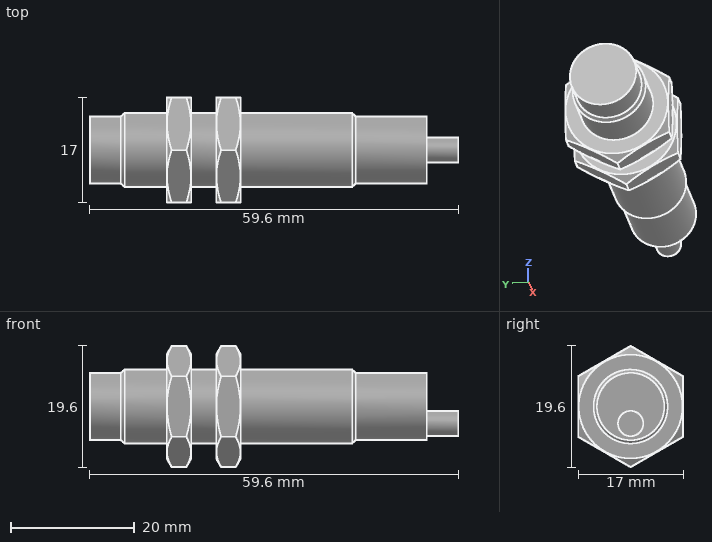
import cadquery as cq
import math

barrel_diameter = 12.0
end_diameter = 10.9
nose_length = 5.0
thread_end = 43.0
housing_end = 54.5
chamfer_length = 0.6

cable_diameter = 4.1
cable_end = 59.58
cable_drop = 2.75

nut_sides = 6
nut_across_flats = 17.0
nut_thickness = 4.0
nut_face_diameter = 16.8
nut_chamfer_angle = 30.0
corner_up_angle = 90.0
first_nut_start = 12.4
nut_spacing = 8.0
nut_count = 2


def make_housing():
    """Turned barrel with a chamfered step down to each plain end."""
    end_radius = end_diameter / 2
    barrel_radius = barrel_diameter / 2
    return (
        cq.Workplane("XY")
        .moveTo(0, 0)
        .lineTo(0, end_radius)
        .lineTo(nose_length, end_radius)
        .lineTo(nose_length + chamfer_length, barrel_radius)
        .lineTo(thread_end - chamfer_length, barrel_radius)
        .lineTo(thread_end, end_radius)
        .lineTo(housing_end, end_radius)
        .lineTo(housing_end, 0)
        .close()
        .revolve(360, (0, 0, 0), (1, 0, 0))
    )


def make_cable():
    """Short cable stub leaving the rear face below the axis."""
    return (
        cq.Workplane("YZ", origin=(housing_end, 0, -cable_drop))
        .circle(cable_diameter / 2)
        .extrude(cable_end - housing_end)
    )


def make_nut(start):
    """Hexagon whose corners are trimmed by a cone on both faces."""
    corner_radius = nut_across_flats / 2 / math.cos(math.pi / nut_sides)
    face_radius = nut_face_diameter / 2
    corner_depth = (corner_radius - face_radius) * math.tan(math.radians(nut_chamfer_angle))
    end = start + nut_thickness

    hexagon = (
        cq.Workplane("YZ", origin=(start, 0, 0))
        .polygon(nut_sides, 2 * corner_radius)
        .extrude(nut_thickness)
        .rotate((0, 0, 0), (1, 0, 0), corner_up_angle)
    )
    envelope = (
        cq.Workplane("XY")
        .moveTo(start, 0)
        .lineTo(start, face_radius)
        .lineTo(start + corner_depth, corner_radius)
        .lineTo(end - corner_depth, corner_radius)
        .lineTo(end, face_radius)
        .lineTo(end, 0)
        .close()
        .revolve(360, (0, 0, 0), (1, 0, 0))
    )
    return hexagon.intersect(envelope)


result = make_housing().union(make_cable())
for index in range(nut_count):
    result = result.union(make_nut(first_nut_start + index * nut_spacing))